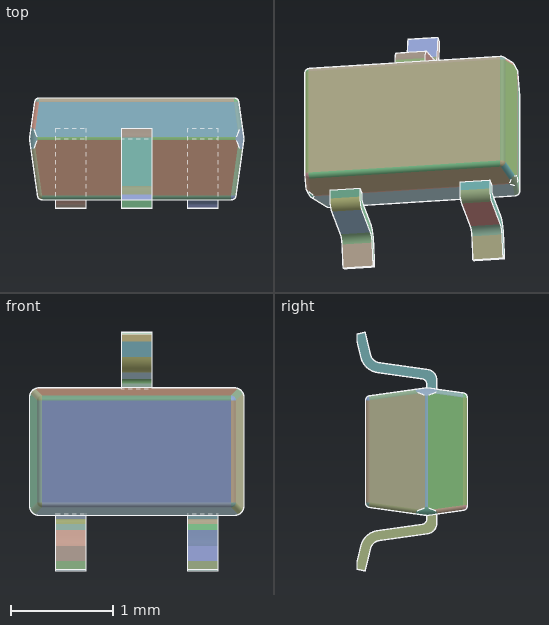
import cadquery as cq
import math

HOUSING_LENGTH = 2.101
HOUSING_HEIGHT = 1.252
FRONT_DEPTH = 0.6
BACK_DEPTH = 0.4
DRAFT_ANGLE = 8.0
EDGE_RADIUS = 0.05
RIDGE_RADIUS = 2 * EDGE_RADIUS
RIDGE_CORNER_RADIUS = RIDGE_RADIUS

LEAD_WIDTH = 0.3
LEAD_THICKNESS = 0.1
LEAD_OFFSET_X = 0.645
LEAD_TIP_Z = 1.17
ARM_ANGLE = 8.0
FOOT_ANGLE = 13.5
KNEE_Z = 0.705
ANKLE_Y = -0.531
FOOT_OVERHANG = 0.082
FOOT_FLAT_Y = -(FRONT_DEPTH + FOOT_OVERHANG)
KNEE_INNER_RADIUS = 0.05
KNEE_OUTER_RADIUS = 0.105
ANKLE_INNER_RADIUS = 0.1
ANKLE_OUTER_RADIUS = ANKLE_INNER_RADIUS + LEAD_THICKNESS

PICK = 0.002


def drafted_half(depth):
    """Half of the housing, narrowing from the ridge plane toward -Y."""
    return (
        cq.Workplane("XZ")
        .rect(HOUSING_LENGTH, HOUSING_HEIGHT)
        .extrude(depth, taper=DRAFT_ANGLE)
    )


def ridge_corner_envelope():
    """Prism along Y that rounds the four corners of the ridge more than the other edges."""
    return (
        cq.Workplane("XZ")
        .rect(HOUSING_LENGTH, HOUSING_HEIGHT)
        .extrude(max(FRONT_DEPTH, BACK_DEPTH), both=True)
        .edges("|Y")
        .fillet(RIDGE_CORNER_RADIUS)
    )


def make_shell():
    """Rounded housing without its lead."""
    block = drafted_half(FRONT_DEPTH).union(drafted_half(BACK_DEPTH).mirror("XZ"))
    block = block.edges("not(|X or |Z)").fillet(EDGE_RADIUS)
    block = block.faces("<Y or >Y").edges().fillet(EDGE_RADIUS)

    ridge = cq.selectors.BoxSelector(
        (-HOUSING_LENGTH, -PICK, -HOUSING_HEIGHT), (HOUSING_LENGTH, PICK, HOUSING_HEIGHT)
    )
    block = block.edges(ridge).fillet(RIDGE_RADIUS)
    return block.intersect(ridge_corner_envelope())


def round_bend(lead, corner, radius):
    """Fillet the edge along X that passes through the (Y, Z) corner."""
    y, z = corner
    at_corner = cq.selectors.BoxSelector(
        (-LEAD_WIDTH, y - PICK, z - PICK), (LEAD_WIDTH, y + PICK, z + PICK)
    )
    return lead.edges(at_corner).fillet(radius)


def make_lead():
    """Upward lead centred on X = 0, starting at mid-height inside the housing."""
    arm_slope = math.tan(math.radians(ARM_ANGLE))
    foot_slope = math.tan(math.radians(FOOT_ANGLE))
    arm_height = LEAD_THICKNESS / math.cos(math.radians(ARM_ANGLE))
    foot_depth = LEAD_THICKNESS / math.cos(math.radians(FOOT_ANGLE))

    knee_inner = (0, KNEE_Z)
    knee_outer = (LEAD_THICKNESS, KNEE_Z + arm_height - LEAD_THICKNESS * arm_slope)

    ankle_z = KNEE_Z + arm_height - ANKLE_Y * arm_slope
    ankle_inner = (ANKLE_Y, ankle_z)
    tip_back = (ANKLE_Y - (LEAD_TIP_Z - ankle_z) * foot_slope, LEAD_TIP_Z)

    foot_front_y = ANKLE_Y - foot_depth
    outer_y = (foot_front_y - (KNEE_Z - ankle_z) * foot_slope) / (1 - arm_slope * foot_slope)
    ankle_outer = (outer_y, KNEE_Z - outer_y * arm_slope)

    flat_start = (FOOT_FLAT_Y, ankle_z + (foot_front_y - FOOT_FLAT_Y) / foot_slope)
    flat_end = (FOOT_FLAT_Y, LEAD_TIP_Z - (tip_back[0] - FOOT_FLAT_Y) * foot_slope)

    profile = [
        (0, 0), knee_inner, ankle_outer, flat_start, flat_end,
        tip_back, ankle_inner, knee_outer, (LEAD_THICKNESS, 0),
    ]
    lead = cq.Workplane("YZ").polyline(profile).close().extrude(LEAD_WIDTH / 2, both=True)
    lead = round_bend(lead, knee_inner, KNEE_INNER_RADIUS)
    lead = round_bend(lead, knee_outer, KNEE_OUTER_RADIUS)
    lead = round_bend(lead, ankle_inner, ANKLE_INNER_RADIUS)
    return round_bend(lead, ankle_outer, ANKLE_OUTER_RADIUS)


def make_housing():
    """Housing with the upper lead as an integral part of it."""
    return make_shell().union(make_lead())


def make_lower_lead(x, housing):
    """Downward lead at the given X, ending where it meets the housing surface."""
    return make_lead().mirror("XY").translate((x, 0, 0)).cut(housing)


housing = make_housing()
lower_leads = [make_lower_lead(side * LEAD_OFFSET_X, housing) for side in (-1, 1)]

result = cq.Compound.makeCompound(
    [housing.solids().val(), *[lead.solids().val() for lead in lower_leads]]
)